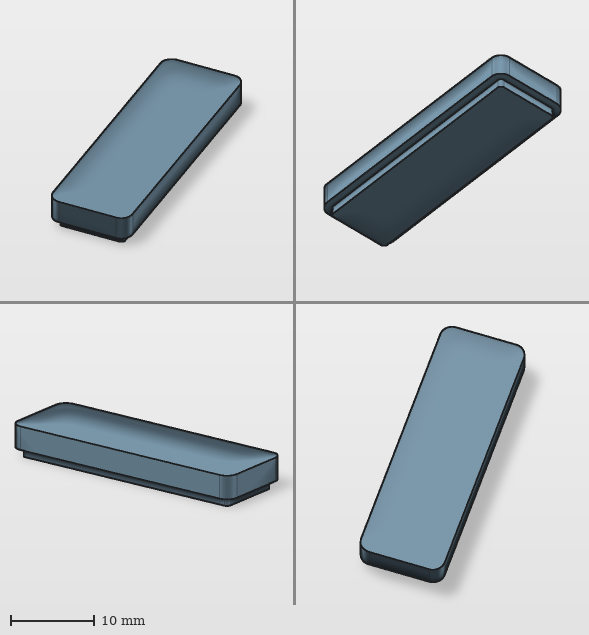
import cadquery as cq

plate_width = 10.6
plate_length = 33.0
total_height = 4.2
plate_corner_radius = 1.5

base_height = 1.2
base_inset = 1.0

plate_height = total_height - base_height
base_width = plate_width - 2 * base_inset
base_length = plate_length - 2 * base_inset
base_corner_radius = plate_corner_radius - base_inset


def rounded_block(width, length, height, corner_radius, bottom_z):
    """Rectangular block, centred on Z, with rounded vertical edges."""
    block = cq.Workplane("XY").workplane(offset=bottom_z).rect(width, length).extrude(height)
    return block.edges("|Z").fillet(corner_radius)


base = rounded_block(base_width, base_length, base_height, base_corner_radius, 0)
plate = rounded_block(plate_width, plate_length, plate_height, plate_corner_radius, base_height)

result = base.union(plate)